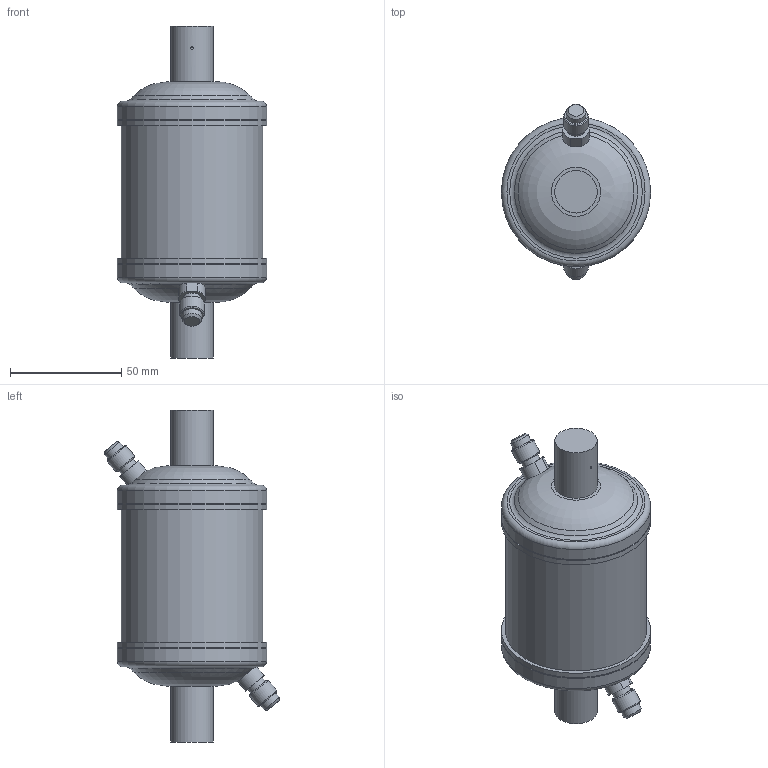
import cadquery as cq
import math

total_length = 149.0
tube_diameter = 19.05
tube_length = 25.0
shell_radius = 31.75

cap_radius = 33.5
cap_rim_height = 29.75
cap_seam_height = 32.2
seam_round = 0.4
shoulder_height = 40.75
shoulder_round = 2.5
dome_top = total_length / 2 - tube_length
dome_flat_radius = 11.0
dome_arc_radius = 21.2
dome_slope = math.radians(45)
dome_foot_round = 3.0

fitting_elevation = 50.0
fitting_tip_y = 36.51
fitting_tip_z = 58.05
collar_diameter = 12.0
collar_across_flats = 11.0
collar_length = 10.0
neck_radius = 4.2
neck_length = 2.4
barrel_radius = 5.55
barrel_length = 6.9
barrel_chamfer = 0.5
nose_radius = 4.4
nose_length = 3.7
nose_chamfer = 1.0

hole_diameter = 1.2
hole_depth = 1.0
hole_from_tube_end = 10.0


def make_cap():
    """Upper half of the body: revolved cap with rim, seam groove, shoulder and dome."""
    sin_slope = math.sin(dome_slope)
    cos_slope = math.cos(dome_slope)
    sin_half = math.sin(dome_slope / 2)
    cos_half = math.cos(dome_slope / 2)
    diagonal = math.sqrt(0.5)

    foot_center_height = shoulder_height + dome_foot_round
    foot_top_height = foot_center_height - dome_foot_round * cos_slope
    foot_mid_height = foot_center_height - dome_foot_round * cos_half

    arc_center_height = dome_top - dome_arc_radius
    arc_end_radius = dome_flat_radius + dome_arc_radius * sin_slope
    arc_end_height = arc_center_height + dome_arc_radius * cos_slope
    arc_mid = (
        dome_flat_radius + dome_arc_radius * sin_half,
        arc_center_height + dome_arc_radius * cos_half,
    )

    foot_top_radius = arc_end_radius + (arc_end_height - foot_top_height) / math.tan(dome_slope)
    foot_center_radius = foot_top_radius + dome_foot_round * sin_slope
    foot_mid_radius = foot_center_radius - dome_foot_round * sin_half

    shoulder_mid = (
        cap_radius - shoulder_round * (1 - diagonal),
        shoulder_height - shoulder_round * (1 - diagonal),
    )
    seam_mid = (
        cap_radius - seam_round * (1 - diagonal),
        cap_seam_height + seam_round * (1 - diagonal),
    )

    profile = (
        cq.Workplane("XZ")
        .lineTo(shell_radius, 0)
        .lineTo(shell_radius, cap_rim_height)
        .lineTo(cap_radius, cap_rim_height)
        .lineTo(cap_radius, cap_seam_height)
        .lineTo(cap_radius - seam_round, cap_seam_height)
        .threePointArc(seam_mid, (cap_radius, cap_seam_height + seam_round))
        .lineTo(cap_radius, shoulder_height - shoulder_round)
        .threePointArc(shoulder_mid, (cap_radius - shoulder_round, shoulder_height))
        .lineTo(foot_center_radius, shoulder_height)
        .threePointArc((foot_mid_radius, foot_mid_height), (foot_top_radius, foot_top_height))
        .lineTo(arc_end_radius, arc_end_height)
        .threePointArc(arc_mid, (dome_flat_radius, dome_top))
        .lineTo(0, dome_top)
        .close()
    )
    return profile.revolve(360, (0, 0, 0), (0, 1, 0))


def make_tube():
    """Upper connection tube, rooted at the mid-plane."""
    return cq.Workplane("XY").circle(tube_diameter / 2).extrude(total_length / 2)


def make_fitting():
    """Upper service fitting: flatted collar, neck, chamfered barrel and nose."""
    barrel_end = -nose_length
    barrel_start = barrel_end - barrel_length
    collar_end = barrel_start - neck_length
    collar_start = collar_end - collar_length

    axis_z = math.sin(math.radians(fitting_elevation))
    axis_y = math.cos(math.radians(fitting_elevation))
    tip_plane = cq.Plane(
        origin=(0, fitting_tip_y, fitting_tip_z),
        xDir=(1, 0, 0),
        normal=(0, axis_y, axis_z),
    )

    turned = (
        cq.Workplane("XZ")
        .moveTo(0, collar_start)
        .lineTo(neck_radius, collar_start)
        .lineTo(neck_radius, barrel_start)
        .lineTo(barrel_radius - barrel_chamfer, barrel_start)
        .lineTo(barrel_radius, barrel_start + barrel_chamfer)
        .lineTo(barrel_radius, barrel_end - barrel_chamfer)
        .lineTo(barrel_radius - barrel_chamfer, barrel_end)
        .lineTo(nose_radius, barrel_end)
        .lineTo(nose_radius, -nose_chamfer)
        .lineTo(nose_radius - nose_chamfer, 0)
        .lineTo(0, 0)
        .close()
        .revolve(360, (0, 0, 0), (0, 1, 0))
    )
    collar_base = cq.Workplane("XY").workplane(offset=collar_start)
    collar = collar_base.circle(collar_diameter / 2).extrude(collar_length)
    flats = collar_base.rect(collar_diameter, collar_across_flats).extrude(collar_length)
    fitting = turned.union(collar.intersect(flats))
    return cq.Workplane(fitting.val().moved(cq.Location(tip_plane)))


def make_tube_hole():
    """Cutter for the blind hole on the front of the upper tube."""
    plane = cq.Plane(
        origin=(0, -tube_diameter / 2, total_length / 2 - hole_from_tube_end),
        xDir=(1, 0, 0),
        normal=(0, 1, 0),
    )
    return cq.Workplane(plane).circle(hole_diameter / 2).extrude(hole_depth)


upper_half = make_cap().union(make_tube()).union(make_fitting())
lower_half = upper_half.rotate((0, 0, 0), (1, 0, 0), 180)
result = upper_half.union(lower_half).cut(make_tube_hole())